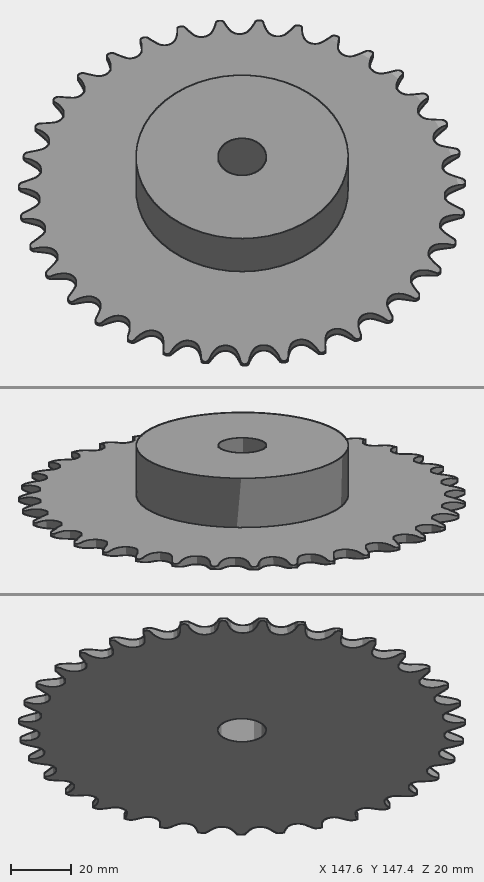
import cadquery as cq
import math

tooth_count = 35
outer_diameter = 147.7
pitch_diameter = 141.6
roller_seat_diameter = 7.8
seat_half_angle = 54.0
flank_radius = 13.3
tip_rounding = 1.3
cutter_overrun = 1.5

plate_thickness = 3.0
relief_start_radius = 68.7
tip_thickness = 0.9

total_height = 20.0
hub_diameter = 70.0
bore_diameter = 16.0

outer_radius = outer_diameter / 2
tooth_angle = 360.0 / tooth_count
pitch_radius = pitch_diameter / 2
roller_seat_radius = roller_seat_diameter / 2
seat_bottom_radius = pitch_radius - roller_seat_radius
cut_radius = outer_radius + cutter_overrun


def make_relieved_disc():
    """Disc whose two faces curve together towards the rim."""
    relief_width = outer_radius - relief_start_radius
    relief_depth = (plate_thickness - tip_thickness) / 2
    relief_radius = (relief_width**2 + relief_depth**2) / (2 * relief_depth)
    mid_sweep = math.asin(relief_width / relief_radius) / 2
    mid_x = relief_start_radius + relief_radius * math.sin(mid_sweep)
    mid_drop = relief_radius * (1 - math.cos(mid_sweep))
    section = (
        cq.Workplane("XZ")
        .lineTo(relief_start_radius, 0)
        .threePointArc((mid_x, mid_drop), (outer_radius, relief_depth))
        .lineTo(outer_radius, plate_thickness - relief_depth)
        .threePointArc((mid_x, plate_thickness - mid_drop), (relief_start_radius, plate_thickness))
        .lineTo(0, plate_thickness)
        .close()
    )
    return section.revolve(360, (0, 0, 0), (0, 1, 0))


def make_tooth_gap():
    """Cutter for one gap, centred on +Y: a round roller seat running into concave flanks."""
    angle = math.radians(seat_half_angle)
    seat_end_x = roller_seat_radius * math.sin(angle)
    seat_end_y = pitch_radius - roller_seat_radius * math.cos(angle)
    center_x = seat_end_x - flank_radius * math.sin(angle)
    center_y = seat_end_y + flank_radius * math.cos(angle)

    def flank_point(y):
        return center_x + math.sqrt(flank_radius**2 - (y - center_y) ** 2), y

    mid_x, mid_y = flank_point((seat_end_y + cut_radius) / 2)
    top_x, top_y = flank_point(cut_radius)
    return (
        cq.Workplane("XY")
        .moveTo(-seat_end_x, seat_end_y)
        .threePointArc((0, seat_bottom_radius), (seat_end_x, seat_end_y))
        .threePointArc((mid_x, mid_y), (top_x, top_y))
        .lineTo(-top_x, top_y)
        .threePointArc((-mid_x, mid_y), (-seat_end_x, seat_end_y))
        .close()
        .extrude(plate_thickness)
    )


def make_toothed_disc():
    """Flat toothed disc with the two corners of every tooth tip rounded."""
    disc = cq.Workplane("XY").circle(outer_radius).extrude(plate_thickness)
    gap = make_tooth_gap()
    for index in range(tooth_count):
        disc = disc.cut(gap.rotate((0, 0, 0), (0, 0, 1), index * tooth_angle))

    def is_tip_corner(edge):
        center = edge.Center()
        return math.hypot(center.x, center.y) > outer_radius - tip_rounding

    return disc.edges("|Z").filter(is_tip_corner).fillet(tip_rounding)


plate = make_toothed_disc().intersect(make_relieved_disc())
hub = cq.Workplane("XY").circle(hub_diameter / 2).extrude(total_height)
bore = cq.Workplane("XY").circle(bore_diameter / 2).extrude(total_height)
result = plate.union(hub).cut(bore)